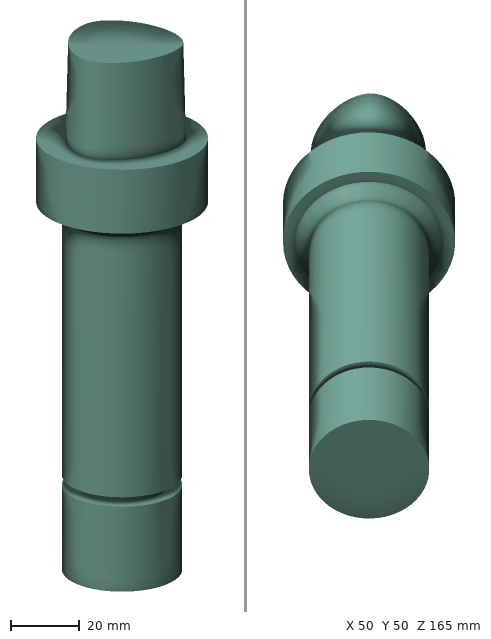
import cadquery as cq
import math

total_height = 165.0
head_height = 26.5
neck_height = 3.0
chamfer_height = 4.0
flange_height = 20.0
taper_height = 30.0

shank_diameter = 35.0
neck_diameter = 27.0
flange_diameter = 50.0

polygon_diameter = shank_diameter
polygon_eccentricity = 1.07
taper_ratio = 1 / 20
polygon_point_count = 36

neck_top = head_height + neck_height
flange_top = total_height - taper_height
flange_bottom = flange_top - flange_height
shank_top = flange_bottom - chamfer_height
shank_radius = shank_diameter / 2
chamfer_radius = shank_radius + chamfer_height
flange_radius = flange_diameter / 2


def polygon_point(diameter, angle):
    """Point on a constant-width, three-lobed curve with one lobe toward -Y."""
    radius = diameter / 2
    e = polygon_eccentricity
    along = radius * math.cos(angle) + 2 * e * math.cos(2 * angle) - e * math.cos(4 * angle)
    across = radius * math.sin(angle) - 2 * e * math.sin(2 * angle) - e * math.sin(4 * angle)
    return across, -along


def polygon_wire(diameter, height):
    """Closed smooth polygon outline at the given height."""
    step = 2 * math.pi / polygon_point_count
    points = [
        cq.Vector(*polygon_point(diameter, i * step), height)
        for i in range(polygon_point_count)
    ]
    return cq.Wire.assembleEdges([cq.Edge.makeSpline(points, periodic=True)])


def make_polygon_taper():
    """Tapered polygon stub standing on the flange."""
    top_diameter = polygon_diameter - taper_ratio * taper_height
    lower_wire = polygon_wire(polygon_diameter, flange_top)
    upper_wire = polygon_wire(top_diameter, total_height)
    return cq.Workplane(cq.Solid.makeLoft([lower_wire, upper_wire], True))


def make_holder():
    """Shank, 45 degree cone, flange and polygon taper."""
    turned_body = (
        cq.Workplane("XZ")
        .moveTo(0, neck_top)
        .lineTo(shank_radius, neck_top)
        .lineTo(shank_radius, shank_top)
        .lineTo(chamfer_radius, flange_bottom)
        .lineTo(flange_radius, flange_bottom)
        .lineTo(flange_radius, flange_top)
        .lineTo(0, flange_top)
        .close()
        .revolve(360, (0, 0, 0), (0, 1, 0))
    )
    return turned_body.union(make_polygon_taper()).solids()


def make_end_head():
    """End cylinder with the narrow neck that meets the holder's shank."""
    return (
        cq.Workplane("XY")
        .circle(shank_radius)
        .extrude(head_height)
        .faces(">Z")
        .workplane()
        .circle(neck_diameter / 2)
        .extrude(neck_height)
    )


holder = make_holder()
end_head = make_end_head()

result = cq.Compound.makeCompound([holder.val(), end_head.val()])